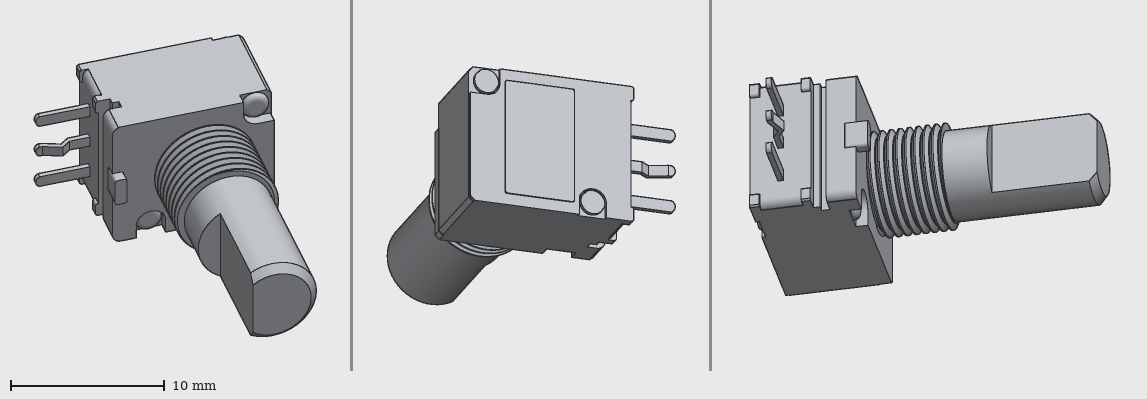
import cadquery as cq


housing_length = 7.05
half_height = 4.75
back_y = 4.8
end_plate_back_y = 4.75
cover_front_y = -5.9
carrier_front_y = -6.3
carrier_fillet = 0.6
back_chamfer = 0.3
rear_plate_thickness = 0.25
front_plate_thickness = 0.8

slot_rear_x = -3.0
slot_step_x = -2.55
slot_front_x = -2.0
slot_step_y = -5.5
slot_floor_y = -5.05

tab_front_y = -6.5
tab_depth = 1.0
tab_inner_fillet = 0.19
tab_outer_chamfer = 0.12
tab_x_ranges = [(-housing_length, -6.4), (-3.6, slot_rear_x)]

corner_rivet_yz = (3.65, 3.76)
edge_rivet_yz = (-3.67, -3.76)
rivet_radius = 0.82
rear_pocket_radius = 0.93
front_pocket_radius = 1.0
rivet_head_radius = 0.95
rivet_head_height = 0.42
rivet_head_fillet = 0.4

label_thickness = 0.1
label_width = 4.76
label_height = 7.94
label_fillet = 0.15

lug_x_range = (-0.73, 0.8)
lug_width = 2.0
lug_front_y = -6.37
lug_back_y = -5.55
lug_fillet = 0.2

terminal_center_x = -5.0
terminal_thickness = 0.36
terminal_pitch = 2.5
terminal_width = 0.8
middle_terminal_width = 0.74
terminal_tip_y = -10.0
terminal_tip_bulge = 0.27
terminal_embed = 0.3
terminal_root_y = carrier_front_y + terminal_embed
bend_start_y = -7.7
bend_peak_y = -8.3
bend_end_y = -9.52
bend_offset = 0.46

bushing_length = 5.0
thread_crest_radius = 3.5
thread_root_radius = 3.1
thread_pitch = 0.6
thread_crest_width = 0.1
thread_base_width = 0.54
thread_start_x = -0.18
thread_overlap = 0.1

shaft_radius = 3.0
shaft_end_x = 15.0
shaft_chamfer = 0.53
flat_start_x = 8.0
flat_y = -1.5


def box(x_range, y_range, z_range):
    """Axis-aligned box between pairs of limits."""
    (x0, x1), (y0, y1), (z0, z1) = x_range, y_range, z_range
    return cq.Workplane("XY").box(x1 - x0, y1 - y0, z1 - z0, centered=False).translate((x0, y0, z0))


def x_cylinder(radius, x0, x1, yz=(0, 0)):
    """Cylinder along X, centred on the given Y and Z."""
    return cq.Workplane("YZ", origin=(x0, 0, 0)).center(*yz).circle(radius).extrude(x1 - x0)


def cover_block(x0, x1, rear_y):
    """Length of the cover with chamfered back edges."""
    block = box((x0, x1), (cover_front_y, rear_y), (-half_height, half_height))
    return block.edges("|X and >Y").chamfer(back_chamfer)


def make_housing():
    rear_step_x = -housing_length + rear_plate_thickness
    housing = cover_block(rear_step_x, -front_plate_thickness, back_y)
    housing = housing.union(cover_block(-housing_length, rear_step_x, end_plate_back_y))
    housing = housing.union(cover_block(-front_plate_thickness, 0, end_plate_back_y))
    carrier = box((-housing_length, 0), (carrier_front_y, 0), (-half_height, half_height))
    return housing.union(carrier.edges("|X and <Y").fillet(carrier_fillet))


def make_tab(x0, x1, side):
    """Tab folded over a front edge of the cover; side is +1 at the top, -1 at the bottom."""
    tab = box((x0, x1), (tab_front_y, cover_front_y), (half_height - tab_depth, half_height))
    tab = tab.edges("|X and <Y and <Z").fillet(tab_inner_fillet)
    tab = tab.edges("|X and <Y and >Z").chamfer(tab_outer_chamfer)
    return tab if side > 0 else tab.mirror("XY")


def make_slot():
    """Stepped slot across the full height of the front face."""
    z_range = (-half_height, half_height)
    step = box((slot_rear_x, slot_front_x), (tab_front_y, slot_step_y), z_range)
    return step.union(box((slot_step_x, slot_front_x), (tab_front_y, slot_floor_y), z_range))


def make_corner_pocket(x0, x1, radius):
    """Pocket open to the back and top, rounded around the corner rivet."""
    y, z = corner_rivet_yz
    to_back = box((x0, x1), (y, back_y), (z - radius, half_height))
    to_top = box((x0, x1), (y - radius, back_y), (z, half_height))
    return x_cylinder(radius, x0, x1, corner_rivet_yz).union(to_back).union(to_top)


def make_edge_pocket(x0, x1, radius):
    """U-shaped pocket open to the bottom around the edge rivet."""
    y, z = edge_rivet_yz
    to_bottom = box((x0, x1), (y - radius, y + radius), (-half_height, z))
    return x_cylinder(radius, x0, x1, edge_rivet_yz).union(to_bottom)


def add_rivets(body):
    rear_limits = (-housing_length, -housing_length + rear_plate_thickness)
    front_limits = (-front_plate_thickness, 0)
    for limits, radius in ((rear_limits, rear_pocket_radius), (front_limits, front_pocket_radius)):
        body = body.cut(make_corner_pocket(*limits, radius))
        body = body.cut(make_edge_pocket(*limits, radius))
    for yz in (corner_rivet_yz, edge_rivet_yz):
        head_top_x = -front_plate_thickness + rivet_head_height
        head = x_cylinder(rivet_head_radius, -front_plate_thickness, head_top_x, yz)
        body = body.union(head.faces(">X").edges().fillet(rivet_head_fillet))
        body = body.union(x_cylinder(rivet_radius, *rear_limits, yz))
    return body


def make_label():
    label = cq.Workplane("YZ", origin=(-housing_length, 0, 0)).rect(label_width, label_height)
    return label.extrude(-label_thickness).edges("|X").fillet(label_fillet)


def make_lug():
    lug = box(lug_x_range, (lug_front_y, lug_back_y), (-lug_width / 2, lug_width / 2))
    return lug.edges("|X").fillet(lug_fillet)


def make_terminal(z, width, offset):
    """Flat terminal with an arched tip; a nonzero offset kinks it towards +X."""
    rear_x = terminal_center_x - terminal_thickness / 2
    path = [
        (rear_x, terminal_root_y),
        (rear_x, bend_start_y),
        (rear_x + offset, bend_peak_y),
        (rear_x, bend_end_y),
        (rear_x, terminal_tip_y),
    ]
    if offset == 0:
        path = [path[0], path[-1]]
    front = [(x + terminal_thickness, y) for x, y in reversed(path)]
    strip = cq.Workplane("XY").polyline(path + front).close().extrude(width / 2, both=True)
    tip_corner_y = terminal_tip_y + terminal_tip_bulge
    outline = (
        cq.Workplane("YZ", origin=(rear_x, 0, 0))
        .moveTo(terminal_root_y, -width / 2)
        .lineTo(tip_corner_y, -width / 2)
        .threePointArc((terminal_tip_y, 0), (tip_corner_y, width / 2))
        .lineTo(terminal_root_y, width / 2)
        .close()
        .extrude(terminal_thickness + offset)
    )
    strip = strip.intersect(outline)
    return strip.translate((0, 0, z))


def make_bushing():
    """Core with a single-start right-hand helical ridge, trimmed at both ends.

    It is built along Z and then turned onto +X.
    """
    ridge_length = bushing_length + 2 * thread_pitch
    half_crest = thread_crest_width / 2
    half_base = thread_base_width / 2
    helix = cq.Wire.makeHelix(thread_pitch, ridge_length, thread_root_radius)
    profile = cq.Workplane("XZ").polyline([
        (thread_root_radius - thread_overlap, -half_base),
        (thread_root_radius, -half_base),
        (thread_crest_radius, -half_crest),
        (thread_crest_radius, half_crest),
        (thread_root_radius, half_base),
        (thread_root_radius - thread_overlap, half_base),
    ]).close()
    ridge = profile.sweep(cq.Workplane(obj=helix), isFrenet=True)
    core = cq.Workplane("XY", origin=(0, 0, -thread_pitch)).circle(thread_root_radius)
    core = core.extrude(ridge_length + 2 * thread_pitch)
    radial_limits = (-thread_crest_radius - thread_overlap, thread_crest_radius + thread_overlap)
    axial_limits = (-thread_start_x, bushing_length - thread_start_x)
    bushing = core.union(ridge).intersect(box(radial_limits, radial_limits, axial_limits))
    return bushing.rotate((0, 0, 0), (0, 1, 0), 90).translate((thread_start_x, 0, 0))


def make_shaft():
    shaft = x_cylinder(shaft_radius, 0, shaft_end_x).faces(">X").chamfer(shaft_chamfer)
    flat = box((flat_start_x, shaft_end_x), (-shaft_radius, flat_y), (-shaft_radius, shaft_radius))
    return shaft.cut(flat)


body = make_housing()
for x0, x1 in tab_x_ranges:
    for side in (1, -1):
        body = body.union(make_tab(x0, x1, side))
body = add_rivets(body.cut(make_slot()))
body = body.union(make_label()).union(make_lug())

for z in (-terminal_pitch, terminal_pitch):
    body = body.union(make_terminal(z, terminal_width, 0))
body = body.union(make_terminal(0, middle_terminal_width, bend_offset))

result = body.union(make_bushing()).union(make_shaft())